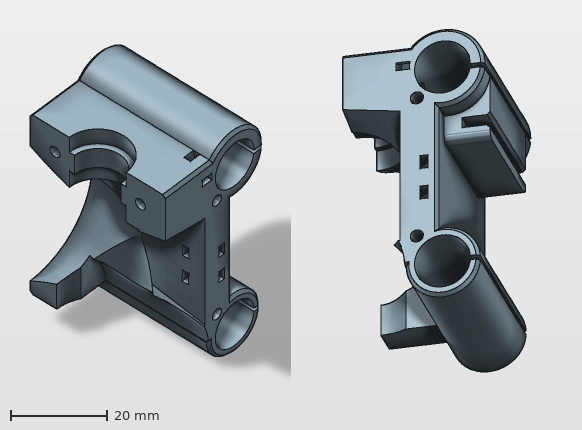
import cadquery as cq
import math

width = 38.0
half_width = width / 2
front_overrun = 3.1
end_chamfer = 0.75

upper_housing_radius = 9.0
lower_housing_radius = 8.0
housing_y = 21.5
upper_housing_z = 62.0 - upper_housing_radius
lower_housing_z = lower_housing_radius
plate_back_y = 20.6
plate_top_z = 58.55
plate_bottom_z = lower_housing_z

bore_radius = 6.0
bore_end_wall = 0.6
slit_height = 1.0
upper_slit_z = upper_housing_z - slit_height / 2
lower_slit_z = lower_housing_z

screw_diameter = 2.8
front_screw_x = 12.0
front_screw_z = 52.0
side_screw_y = 16.0
side_screw_zs = (14.5, 46.55)

seat_radius = 8.0
neck_radius = 6.5
heatsink_radius = 11.5
neck_bottom_z = 49.1
neck_top_z = 54.4
heatsink_top_z = 44.5

duct_z = 30.4
duct_inlet_radius = 19.0
duct_middle_x = -9.0
duct_middle_radius = 14.45
duct_throat_x = 1.85
duct_throat_radius = 11.45
duct_split_angle = 45.0
outlet_depth = 12.35
outlet_front_zs = (12.4, 45.85)
outlet_back_zs = (13.95, 43.95)

relief_start_x = -10.0
relief_radius = 13.3

holder_half_width = 14.1
holder_bottom_z = 37.85
holder_back_y = housing_y + upper_housing_radius
holder_corner_radius = 1.75
belt_slot_bottom_z = 40.85
belt_slot_height = 2.35
belt_slot_depth = 6.1
belt_slot_chamfer = 0.7

tie_width = 3.0
front_tie_radii = (4.35, 6.0)
front_tie_zs = (24.5, 31.55)
top_tie_radii = (3.35, 5.15)
top_tie_y = 12.95


def box(x_range, y_range, z_range):
    size = [high - low for low, high in (x_range, y_range, z_range)]
    corner = (x_range[0], y_range[0], z_range[0])
    return cq.Workplane("XY").box(*size, centered=False).translate(corner)


def x_cylinder(radius, y, z, start_x=-half_width):
    return (
        cq.Workplane("YZ", origin=(start_x, y, z))
        .circle(radius)
        .extrude(half_width - start_x)
    )


def z_cylinder(radius, bottom_z, top_z):
    return cq.Workplane("XY", origin=(0, 0, bottom_z)).circle(radius).extrude(top_z - bottom_z)


def make_body():
    plate = box(
        (-half_width, half_width),
        (-front_overrun, plate_back_y),
        (plate_bottom_z, plate_top_z),
    )
    body = plate.union(x_cylinder(upper_housing_radius, housing_y, upper_housing_z))
    body = body.union(x_cylinder(lower_housing_radius, housing_y, lower_housing_z))
    body = body.faces("<X or >X").edges().chamfer(end_chamfer)
    front_stock = box(
        (-half_width, half_width), (-front_overrun, 0), (0, plate_top_z)
    )
    return body.cut(front_stock)


def make_belt_holder():
    holder = box(
        (-holder_half_width, holder_half_width),
        (plate_back_y, holder_back_y),
        (holder_bottom_z, upper_housing_z),
    )
    holder = holder.faces("<Z").edges("|Y").fillet(holder_corner_radius)
    slot = box(
        (-holder_half_width, holder_half_width),
        (holder_back_y - belt_slot_depth, holder_back_y),
        (belt_slot_bottom_z, belt_slot_bottom_z + belt_slot_height),
    )
    slot_middle_z = belt_slot_bottom_z + belt_slot_height / 2
    mouth_half_height = belt_slot_height / 2 + belt_slot_chamfer
    mouth = (
        cq.Workplane("YZ", origin=(-holder_half_width, holder_back_y, slot_middle_z))
        .polyline([(0, mouth_half_height), (0, -mouth_half_height), (-mouth_half_height, 0)])
        .close()
        .extrude(2 * holder_half_width)
    )
    return holder.cut(slot).cut(mouth)


def make_bore(housing_z):
    return x_cylinder(bore_radius, housing_y, housing_z, bore_end_wall - half_width)


def make_slit(slit_z):
    slit_start = math.sqrt(bore_radius**2 - slit_height**2)
    return box(
        (-half_width, half_width),
        (housing_y + slit_start, housing_y + 2 * bore_radius),
        (slit_z - slit_height / 2, slit_z + slit_height / 2),
    )


def make_front_screw(x):
    return (
        cq.Workplane("XZ", origin=(x, 0, front_screw_z))
        .circle(screw_diameter / 2)
        .extrude(-housing_y)
    )


def make_hot_end_seat():
    seat = z_cylinder(heatsink_radius, 0, heatsink_top_z)
    seat = seat.union(z_cylinder(seat_radius, heatsink_top_z, neck_bottom_z))
    seat = seat.union(z_cylinder(neck_radius, neck_bottom_z, neck_top_z))
    return seat.union(z_cylinder(seat_radius, neck_top_z, plate_top_z))


def make_duct_inlet():
    return (
        cq.Workplane("XY", origin=(0, 0, duct_z))
        .moveTo(-half_width, 0)
        .lineTo(-half_width, duct_inlet_radius)
        .threePointArc(
            (duct_middle_x, duct_middle_radius), (duct_throat_x, duct_throat_radius)
        )
        .lineTo(duct_throat_x, 0)
        .close()
        .revolve(360, (0, 0), (1, 0))
    )


def make_duct_outlet():
    def throat_point(angle):
        turn = math.radians(angle)
        return (
            duct_throat_radius * math.cos(turn),
            duct_z + duct_throat_radius * math.sin(turn),
        )

    side_angle = (duct_split_angle + 90) / 2
    outlet_bottom, outlet_top = outlet_front_zs
    back_bottom, back_top = outlet_back_zs
    return (
        cq.Workplane("YZ", origin=(duct_throat_x, 0, 0))
        .moveTo(*throat_point(-90))
        .threePointArc(throat_point(-side_angle), throat_point(-duct_split_angle))
        .threePointArc(throat_point(0), throat_point(duct_split_angle))
        .threePointArc(throat_point(side_angle), throat_point(90))
        .close()
        .workplane(offset=half_width - duct_throat_x)
        .moveTo(0, outlet_bottom)
        .lineTo(outlet_depth, back_bottom)
        .lineTo(outlet_depth, back_top)
        .lineTo(0, outlet_top)
        .close()
        .loft(ruled=True, combine=True)
    )


def make_relief():
    return x_cylinder(relief_radius, 0, plate_bottom_z, relief_start_x)


def make_tie_ring(plane, center, radii):
    inner_radius, outer_radius = radii
    return (
        cq.Workplane(plane, origin=center)
        .circle(outer_radius)
        .circle(inner_radius)
        .extrude(tie_width / 2, both=True)
    )


result = make_body().union(make_belt_holder())
for housing_z, slit_z in ((upper_housing_z, upper_slit_z), (lower_housing_z, lower_slit_z)):
    result = result.cut(make_bore(housing_z)).cut(make_slit(slit_z))

for side in (-1, 1):
    result = result.cut(make_front_screw(side * front_screw_x))
for screw_z in side_screw_zs:
    result = result.cut(x_cylinder(screw_diameter / 2, side_screw_y, screw_z))

result = result.cut(make_duct_inlet()).cut(make_duct_outlet())
result = result.cut(make_hot_end_seat()).cut(make_relief())

for tie_z in front_tie_zs:
    result = result.cut(make_tie_ring("XY", (half_width, outlet_depth, tie_z), front_tie_radii))
result = result.cut(make_tie_ring("XZ", (half_width, top_tie_y, plate_top_z), top_tie_radii))